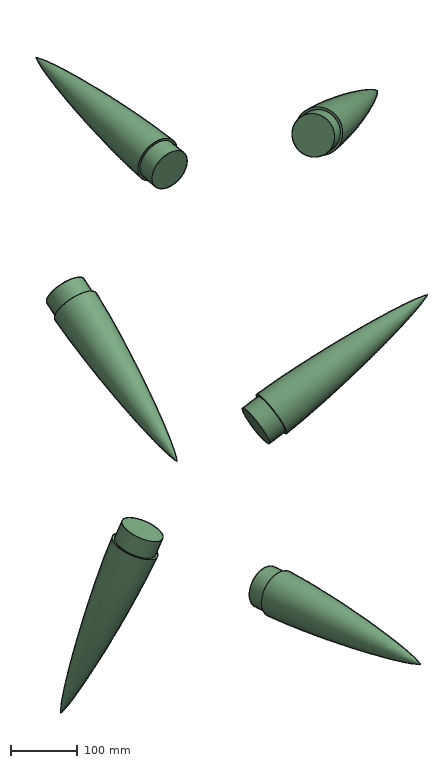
import cadquery as cq
import math

total_length = 330.0
shoulder_length = 30.0
base_diameter = 75.0
shoulder_diameter = 67.3

profile_spans = 24

base_radius = base_diameter / 2
shoulder_radius = shoulder_diameter / 2
nose_length = total_length - shoulder_length
nose_tip_x = -total_length / 2
nose_base_x = nose_tip_x + nose_length
shoulder_end_x = total_length / 2


def haack_point(angle):
    """Point (x, radius) on a Von Karman nose profile; angle runs from 0 at the tip to pi at the base."""
    x = nose_tip_x + nose_length * (1 - math.cos(angle)) / 2
    radius = base_radius * math.sqrt(max(angle - math.sin(2 * angle) / 2, 0) / math.pi)
    return (x, radius)


nose_profile = [haack_point(math.pi * i / profile_spans) for i in range(profile_spans + 1)]

result = (
    cq.Workplane("XY")
    .moveTo(*nose_profile[0])
    .spline(nose_profile[1:], includeCurrent=True)
    .lineTo(nose_base_x, shoulder_radius)
    .lineTo(shoulder_end_x, shoulder_radius)
    .lineTo(shoulder_end_x, 0)
    .close()
    .revolve(360, (0, 0, 0), (1, 0, 0))
)